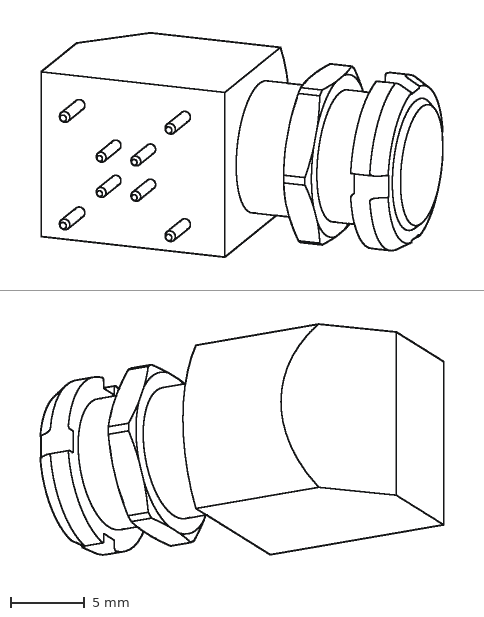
import cadquery as cq
import math

overall_length = 25.0

block_length = 13.28
block_width = 11.7
block_bottom = -6.7
block_crown = 6.0
crown_radius = 10.0
corner_cut = 5.78

barrel_radius = 4.5
barrel_end_chamfer_length = 0.45
barrel_end_chamfer_depth = 0.38

pin_length = 3.2
pin_tip_length = 0.3
pin_tip_inset = 0.15
shield_pin_radius = 0.38
shield_pin_pitch = 7.62
shield_pin_center = 6.6
contact_pin_radius = 0.35
contact_pin_pitch = 2.5
contact_pin_center = 6.68

hex_start = 17.1
hex_width = 2.0
hex_across_flats = 11.0
hex_corner_radius = 6.2
hex_chamfer_length = 0.22
hex_face_radius = 5.55

ring_start = 22.08
ring_end = overall_length - barrel_end_chamfer_length
ring_radius = 6.0
ring_chamfer_length = 1.1
ring_chamfer_depth = 0.62
slot_count = 4
slot_width = 1.55
slot_floor = 5.2
slot_floor_fillet = 0.1
slot_rim_radius = 0.2


def revolve_about_x(profile):
    """Turn (x, radius) points into a solid of revolution about the X axis."""
    return cq.Workplane("XY").polyline(profile).close().revolve(360, (0, 0, 0), (1, 0, 0))


def nut_bore(start, end):
    """Cylinder that clears a nut for the barrel."""
    return cq.Workplane("YZ", origin=(start, 0, 0)).circle(barrel_radius).extrude(end - start)


def make_block():
    half_width = block_width / 2
    crown_drop = crown_radius - math.sqrt(crown_radius**2 - half_width**2)
    shoulder = block_crown - crown_drop
    block = (
        cq.Workplane("YZ")
        .moveTo(block_bottom, -half_width)
        .lineTo(shoulder, -half_width)
        .threePointArc((block_crown, 0), (shoulder, half_width))
        .lineTo(block_bottom, half_width)
        .close()
        .extrude(block_length)
    )
    corner = (
        cq.Workplane("XY")
        .polyline([(0, block_crown - corner_cut), (0, block_crown), (corner_cut, block_crown)])
        .close()
        .extrude(half_width, both=True)
    )
    return block.cut(corner)


def make_barrel():
    chamfer_start = overall_length - barrel_end_chamfer_length
    end_radius = barrel_radius - barrel_end_chamfer_depth
    return revolve_about_x([
        (block_length, 0),
        (block_length, barrel_radius),
        (chamfer_start, barrel_radius),
        (overall_length, end_radius),
        (overall_length, 0),
    ])


def make_pin(x, z, radius):
    """Pin with a tapered tip, standing on the bottom face of the block."""
    tip_start = block_bottom - pin_length + pin_tip_length
    tip_end = block_bottom - pin_length
    profile = [
        (0, block_bottom),
        (radius, block_bottom),
        (radius, tip_start),
        (radius - pin_tip_inset, tip_end),
        (0, tip_end),
    ]
    pin = cq.Workplane("XY").polyline(profile).close().revolve(360, (0, 0, 0), (0, 1, 0))
    return pin.translate((x, 0, z))


def make_housing():
    """Block, barrel and the two square groups of pins, all one body."""
    housing = make_block().union(make_barrel())
    pin_groups = [
        (shield_pin_center, shield_pin_pitch, shield_pin_radius),
        (contact_pin_center, contact_pin_pitch, contact_pin_radius),
    ]
    for center, pitch, radius in pin_groups:
        for x_side in (-1, 1):
            for z_side in (-1, 1):
                pin = make_pin(center + x_side * pitch / 2, z_side * pitch / 2, radius)
                housing = housing.union(pin)
    return housing


def make_hex_nut():
    """Hexagon nut with two flats square to Z and corners chamfered on both ends."""
    hex_end = hex_start + hex_width
    across_corners = hex_across_flats / math.cos(math.pi / 6)
    hexagon = (
        cq.Workplane("YZ", origin=(hex_start, 0, 0))
        .polygon(6, across_corners)
        .extrude(hex_width)
    )
    envelope = revolve_about_x([
        (hex_start, 0),
        (hex_start, hex_face_radius),
        (hex_start + hex_chamfer_length, hex_corner_radius),
        (hex_end - hex_chamfer_length, hex_corner_radius),
        (hex_end, hex_face_radius),
        (hex_end, 0),
    ])
    return hexagon.intersect(envelope).cut(nut_bore(hex_start, hex_end))


def make_slot_cutter():
    """Slot at +Z across the whole ring, with rounded floor corners and rounded rims."""
    half_width = slot_width / 2
    floor_half_width = half_width - slot_floor_fillet
    wall_foot = slot_floor + slot_floor_fillet
    rim_half_width = half_width + slot_rim_radius
    rim_height = math.sqrt(ring_radius**2 - rim_half_width**2)
    wall_top = rim_height - slot_rim_radius
    return (
        cq.Workplane("YZ", origin=(ring_start, 0, 0))
        .moveTo(-floor_half_width, slot_floor)
        .lineTo(floor_half_width, slot_floor)
        .tangentArcPoint((half_width, wall_foot), relative=False)
        .lineTo(half_width, wall_top)
        .tangentArcPoint((rim_half_width, rim_height), relative=False)
        .lineTo(rim_half_width, ring_radius)
        .lineTo(-rim_half_width, ring_radius)
        .lineTo(-rim_half_width, rim_height)
        .radiusArc((-half_width, wall_top), slot_rim_radius)
        .lineTo(-half_width, wall_foot)
        .tangentArcPoint((-floor_half_width, slot_floor), relative=False)
        .close()
        .extrude(ring_end - ring_start)
    )


def make_ring_nut():
    """Round nut with a tapered front and four wrench slots."""
    ring = revolve_about_x([
        (ring_start, 0),
        (ring_start, ring_radius),
        (ring_end - ring_chamfer_length, ring_radius),
        (ring_end, ring_radius - ring_chamfer_depth),
        (ring_end, 0),
    ])
    ring = ring.cut(nut_bore(ring_start, ring_end))
    slot = make_slot_cutter()
    for index in range(slot_count):
        ring = ring.cut(slot.rotate((0, 0, 0), (1, 0, 0), index * 360 / slot_count))
    return ring


housing = make_housing()
hex_nut = make_hex_nut()
ring_nut = make_ring_nut()

result = cq.Compound.makeCompound([housing.val(), hex_nut.val(), ring_nut.val()])